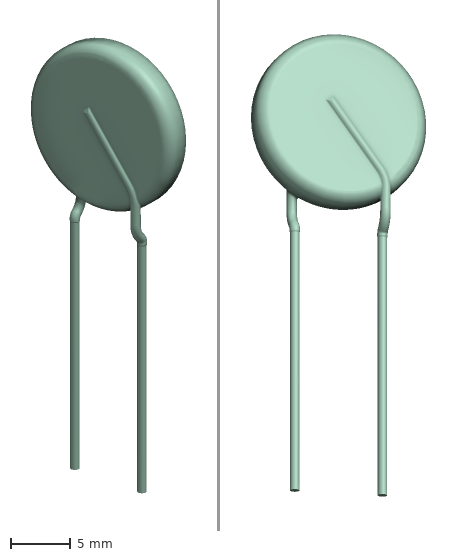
import cadquery as cq
import math

DISC_DIAMETER = 15.0
DISC_THICKNESS = 3.0
DISC_FILLET = 1.05

TOTAL_HEIGHT = 40
LEAD_PITCH = 7.5
BARE_DIAMETER = 0.8
COATED_DIAMETER = 0.9
BARE_OFFSET = 0.34
LEAD_FILLET = 0.15
COATED_PROUD = 0.2

COATING_END_Z = -9.92
COATING_TAPER = 0.12
CRANK_TOP_Z = -7.75
CRANK_HEIGHT = 1.92
UPPER_CRANK_RADIUS = 1.85
SLANT_BEND_Z = -5.85
SLANT_BEND_RADIUS = 2.65
SLANT_ANGLE = 37
SLANT_LENGTH = 7.4
TIP_SLOPE = 30
TIP_MARGIN = 0.2

CONTACT_TOLERANCE = 0.0005

lead_x = LEAD_PITCH / 2
bottom_z = DISC_DIAMETER / 2 - TOTAL_HEIGHT
taper_top_z = COATING_END_Z + COATING_TAPER
coated_y = -(DISC_THICKNESS / 2 + COATED_PROUD - COATED_DIAMETER / 2)

crank_step = -BARE_OFFSET - coated_y
crank_angle = 2 * math.atan2(crank_step, CRANK_HEIGHT)
lower_crank_radius = CRANK_HEIGHT / math.sin(crank_angle) - UPPER_CRANK_RADIUS

slant = math.radians(SLANT_ANGLE)
slant_direction = cq.Vector(-math.sin(slant), 0, math.cos(slant))
slant_start = cq.Vector(
    lead_x - SLANT_BEND_RADIUS * (1 - math.cos(slant)),
    coated_y,
    SLANT_BEND_Z + SLANT_BEND_RADIUS * math.sin(slant),
)


def make_disc():
    return (
        cq.Workplane("XZ", origin=(0, DISC_THICKNESS / 2, 0))
        .circle(DISC_DIAMETER / 2)
        .extrude(DISC_THICKNESS)
        .faces("<Y or >Y")
        .edges()
        .fillet(DISC_FILLET)
    )


def coated_path():
    """Centre line of the coated wire of the front lead, from its lower end to its tip."""
    up = cq.Vector(0, 0, 1)
    start = cq.Vector(lead_x, -BARE_OFFSET, taper_top_z)
    crank_bottom = cq.Vector(lead_x, -BARE_OFFSET, CRANK_TOP_Z - CRANK_HEIGHT)
    crank_middle = crank_bottom + cq.Vector(
        0,
        -lower_crank_radius * (1 - math.cos(crank_angle)),
        lower_crank_radius * math.sin(crank_angle),
    )
    crank_direction = cq.Vector(0, -math.sin(crank_angle), math.cos(crank_angle))
    crank_top = cq.Vector(lead_x, coated_y, CRANK_TOP_Z)
    slant_bend_start = cq.Vector(lead_x, coated_y, SLANT_BEND_Z)
    tip = slant_start + slant_direction * (SLANT_LENGTH + TIP_MARGIN)

    return cq.Wire.assembleEdges([
        cq.Edge.makeLine(start, crank_bottom),
        cq.Edge.makeTangentArc(crank_bottom, up, crank_middle),
        cq.Edge.makeTangentArc(crank_middle, crank_direction, crank_top),
        cq.Edge.makeLine(crank_top, slant_bend_start),
        cq.Edge.makeTangentArc(slant_bend_start, up, slant_start),
        cq.Edge.makeLine(slant_start, tip),
    ])


def make_tip_cutter():
    """Cylinder whose flat base trims the tip to a slope running down to the disc face."""
    slope = math.radians(TIP_SLOPE)
    outward = cq.Vector(0, -1, 0)
    tip_foot = slant_start + slant_direction * SLANT_LENGTH
    tip_foot.y = -DISC_THICKNESS / 2
    slope_normal = slant_direction * math.sin(slope) + outward * math.cos(slope)
    return cq.Workplane(cq.Solid.makeCylinder(
        COATED_DIAMETER,
        COATED_DIAMETER,
        pnt=tip_foot,
        dir=slope_normal,
    ))


def make_front_lead():
    bare_wire = (
        cq.Workplane("XY", origin=(lead_x, -BARE_OFFSET, bottom_z))
        .circle(BARE_DIAMETER / 2)
        .extrude(COATING_END_Z - bottom_z)
    )
    taper = cq.Workplane(cq.Solid.makeCone(
        BARE_DIAMETER / 2,
        COATED_DIAMETER / 2,
        COATING_TAPER,
        pnt=cq.Vector(lead_x, -BARE_OFFSET, COATING_END_Z),
    ))
    coated_wire = (
        cq.Workplane("XY", origin=(lead_x, -BARE_OFFSET, taper_top_z))
        .circle(COATED_DIAMETER / 2)
        .sweep(cq.Workplane(coated_path()))
        .cut(make_tip_cutter())
    )
    return bare_wire.union(taper).union(coated_wire)


def blend_edges(body, disc, leads):
    """Edges of the joined body where a lead meets the disc: their midpoints lie on both surfaces."""
    disc_skin = disc.val().Shells()[0]
    lead_skins = [lead.val().Shells()[0] for lead in leads]
    edges = []
    for edge in body.edges().vals():
        midpoint = cq.Vertex.makeVertex(*edge.positionAt(0.5).toTuple())
        on_disc = midpoint.distance(disc_skin) < CONTACT_TOLERANCE
        on_lead = any(midpoint.distance(skin) < CONTACT_TOLERANCE for skin in lead_skins)
        if on_disc and on_lead:
            edges.append(edge)
    return edges


front_lead = make_front_lead()
back_lead = front_lead.rotate((0, 0, 0), (0, 0, 1), 180)

disc = make_disc()
body = disc.union(front_lead).union(back_lead)
result = body.newObject(blend_edges(body, disc, [front_lead, back_lead])).fillet(LEAD_FILLET)